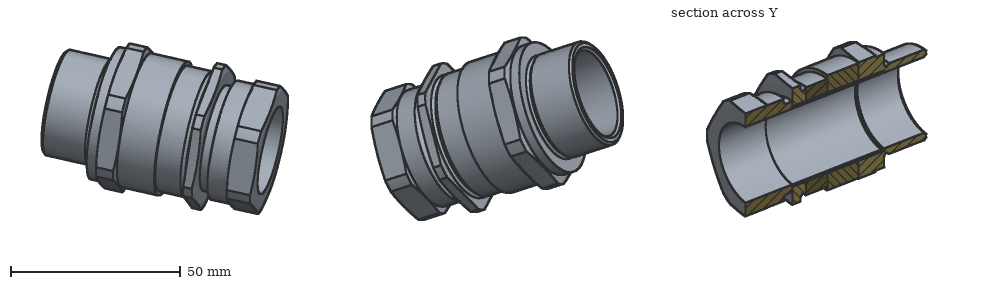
import cadquery as cq
import math

LENGTH = 65.9
THREAD_END = 13.6
COLLAR_START = 15.3
COLLAR_END = 18.3
ENTRY_HEX_END = 24.7
BARREL_END = 36.1
SLEEVE_END = 43.8
MID_HEX_START = 45.7
MID_HEX_END = 48.9
SPIGOT_END = 50.85
BACK_HEX_START = 57.9
LINER_START = 16.4
LINER_GAP = 0.9

THREAD_R = 16.0
COLLAR_R = 20.0
BARREL_R = 20.3
SLEEVE_R = 19.05
BACK_COLLAR_R = 18.05
BORE_R = 13.25
LINER_R = 13.95

LARGE_AF = 41.0
LARGE_CORNER_R = 22.5
BACK_AF = 36.25
BACK_CORNER_R = 19.9
LARGE_BEVEL = 0.5
BACK_BEVEL = 0.4

TIP_CHAMFER = 0.7
ENTRY_GROOVE_DEPTH = 1.0
MID_GROOVE_DEPTH = 1.1
MOUTH_CHAMFER = 0.8
SPIGOT_FILLET = 1.0


def revolve_about_x(profile):
    """Turn a closed (x, radius) outline about the X axis."""
    return profile.close().revolve(360, (0, 0, 0), (1, 0, 0))


def turned(points):
    return revolve_about_x(cq.Workplane("XY").polyline(points))


def cylinder(start, end, radius):
    return cq.Workplane("YZ", origin=(start, 0, 0)).circle(radius).extrude(end - start)


def tube(start, end, outer_r, inner_r):
    return cylinder(start, end, outer_r).cut(cylinder(start, end, inner_r))


def hexagon(start, end, across_flats, corner_r, face_r, bevel, bevel_front=True):
    """Hexagon with flats at +Z and -Z, rounded at the corners and beveled down to face_r at its ends."""
    across_corners = across_flats / math.cos(math.pi / 6)
    prism = cq.Workplane("YZ", origin=(start, 0, 0)).polygon(6, across_corners).extrude(end - start)
    front = [(start, face_r), (start + bevel, corner_r)] if bevel_front else [(start, corner_r)]
    back = [(end - bevel, corner_r), (end, face_r)]
    return prism.intersect(turned([(start, 0), *front, *back, (end, 0)]))


def make_entry():
    blank = turned([
        (0, 0),
        (0, THREAD_R - TIP_CHAMFER),
        (TIP_CHAMFER, THREAD_R),
        (THREAD_END, THREAD_R),
        (THREAD_END + ENTRY_GROOVE_DEPTH, THREAD_R - ENTRY_GROOVE_DEPTH),
        (COLLAR_START, THREAD_R),
        (COLLAR_START, COLLAR_R),
        (COLLAR_END, COLLAR_R),
        (COLLAR_END, 0),
    ])
    bore = turned([
        (0, 0),
        (0, BORE_R + MOUTH_CHAMFER),
        (MOUTH_CHAMFER, BORE_R),
        (LINER_START - LINER_GAP, BORE_R),
        (LINER_START - LINER_GAP, LINER_R),
        (ENTRY_HEX_END, LINER_R),
        (ENTRY_HEX_END, 0),
    ])
    hexed = hexagon(COLLAR_END, ENTRY_HEX_END, LARGE_AF, LARGE_CORNER_R, COLLAR_R, LARGE_BEVEL)
    return blank.union(hexed).cut(bore)


def make_barrel():
    return tube(ENTRY_HEX_END, BARREL_END, BARREL_R, LINER_R)


def make_sleeve():
    return tube(BARREL_END, SLEEVE_END, SLEEVE_R, LINER_R)


def make_mid_nut():
    neck = turned([
        (SLEEVE_END, 0),
        (SLEEVE_END, SLEEVE_R),
        (SLEEVE_END + MID_GROOVE_DEPTH, SLEEVE_R - MID_GROOVE_DEPTH),
        (MID_HEX_START, SLEEVE_R),
        (MID_HEX_START, 0),
    ])
    hexed = hexagon(
        MID_HEX_START, MID_HEX_END, LARGE_AF, LARGE_CORNER_R, COLLAR_R, LARGE_BEVEL, bevel_front=False
    )
    return neck.union(hexed).cut(cylinder(SLEEVE_END, MID_HEX_END, LINER_R))


def make_back_nut():
    fillet_end = SPIGOT_END + SPIGOT_FILLET
    fillet_top = THREAD_R + SPIGOT_FILLET
    diagonal = SPIGOT_FILLET * math.sqrt(0.5)
    outline = (
        cq.Workplane("XY")
        .moveTo(MID_HEX_END, 0)
        .lineTo(MID_HEX_END, THREAD_R)
        .lineTo(SPIGOT_END, THREAD_R)
        .threePointArc((SPIGOT_END + diagonal, fillet_top - diagonal), (fillet_end, fillet_top))
        .lineTo(fillet_end, BACK_COLLAR_R)
        .lineTo(BACK_HEX_START, BACK_COLLAR_R)
        .lineTo(BACK_HEX_START, 0)
    )
    hexed = hexagon(BACK_HEX_START, LENGTH, BACK_AF, BACK_CORNER_R, BACK_COLLAR_R, BACK_BEVEL)
    return revolve_about_x(outline).union(hexed).cut(cylinder(MID_HEX_END, LENGTH, BORE_R))


def make_liner():
    return tube(LINER_START, MID_HEX_END, LINER_R, BORE_R)


entry = make_entry()
barrel = make_barrel()
sleeve = make_sleeve()
mid_nut = make_mid_nut()
back_nut = make_back_nut()
liner = make_liner()

result = cq.Compound.makeCompound([
    entry.val(),
    barrel.val(),
    sleeve.val(),
    mid_nut.val(),
    back_nut.val(),
    liner.val(),
])